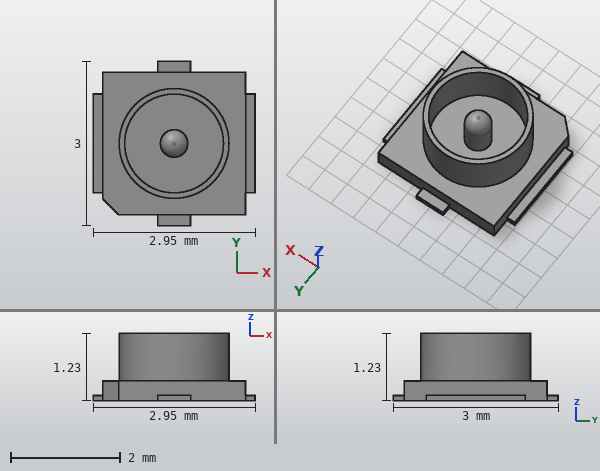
import cadquery as cq

base_side = 2.6
base_height = 0.36
corner_cut = 0.29

pad_thickness = 0.1
span_x = 2.95
span_y = 3.0
side_pad_length = 1.8
end_pad_width = 0.6

total_height = 1.23
ring_outer_diameter = 2.0
ring_inner_diameter = 1.8

pin_diameter = 0.5
pin_top = 1.16
tip_flat_diameter = 0.05
tip_radius = (pin_diameter - tip_flat_diameter) / 2


def make_base():
    plate = cq.Workplane("XY").box(base_side, base_side, base_height, centered=(True, True, False))
    return plate.edges("|Z").edges("<(1, 1, 0)").chamfer(corner_cut)


def make_pads(length_x, length_y):
    """Flat bar through the base; its two ends stick out as a pair of opposite pads."""
    return cq.Workplane("XY").box(length_x, length_y, pad_thickness, centered=(True, True, False))


def make_ring():
    return (
        cq.Workplane("XY", origin=(0, 0, base_height))
        .circle(ring_outer_diameter / 2)
        .circle(ring_inner_diameter / 2)
        .extrude(total_height - base_height)
    )


def make_pin():
    pin = cq.Workplane("XY").circle(pin_diameter / 2).extrude(pin_top)
    return pin.faces(">Z").edges().fillet(tip_radius)


result = (
    make_base()
    .union(make_pads(span_x, side_pad_length))
    .union(make_pads(end_pad_width, span_y))
    .union(make_ring())
    .union(make_pin())
)